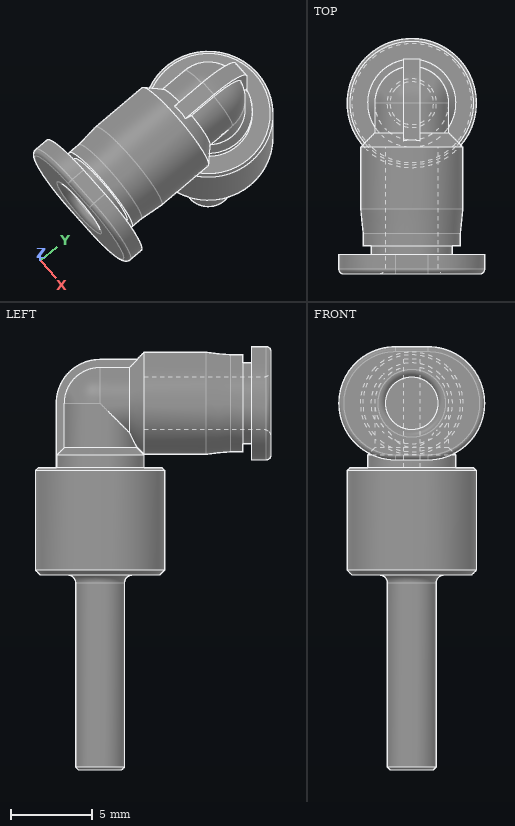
import cadquery as cq


elbow_radius = 2.27
neck_radius = 2.71
rib_width = 1.05

total_height = 26.1
neck_cone_top = 2.75
neck_cone_height = neck_radius - elbow_radius
body_top = 3.97
body_bottom = 10.6
body_radius = 4.0
body_top_chamfer = 0.18
body_bottom_chamfer = 0.31
stem_radius = 1.51
stem_root_fillet = 0.47
stem_tip_chamfer = 0.18

flange_length = 9.0
flange_height = 7.0
flange_fillet = 0.31
stem_bottom = total_height - flange_height / 2

socket_radius = 3.15
socket_cone_length = socket_radius - elbow_radius
socket_cone_start = 1.83
socket_cone_end = socket_cone_start + socket_cone_length
taper_start = 6.52
taper_end = 8.05
lip_radius = 3.0
lip_end = 8.8
collar_radius = 2.5
flange_back = 9.32
flange_front = 10.55

bore_radius = 1.62
bore_fillet = 0.47
bore_depth = flange_front - socket_cone_end


def vertical_branch():
    """Elbow leg, neck, body and stem turned about Z."""
    root_radius = stem_radius + stem_root_fillet
    root_bottom = -body_bottom - stem_root_fillet
    bend = 0.5 ** 0.5
    root_mid = (
        root_radius - stem_root_fillet * bend,
        root_bottom + stem_root_fillet * bend,
    )
    return (
        cq.Workplane("XZ")
        .lineTo(elbow_radius, 0)
        .lineTo(elbow_radius, -neck_cone_top)
        .lineTo(neck_radius, -neck_cone_top - neck_cone_height)
        .lineTo(neck_radius, -body_top)
        .lineTo(body_radius - body_top_chamfer, -body_top)
        .lineTo(body_radius, -body_top - body_top_chamfer)
        .lineTo(body_radius, -body_bottom + body_bottom_chamfer)
        .lineTo(body_radius - body_bottom_chamfer, -body_bottom)
        .lineTo(root_radius, -body_bottom)
        .threePointArc(root_mid, (stem_radius, root_bottom))
        .lineTo(stem_radius, -stem_bottom + stem_tip_chamfer)
        .lineTo(stem_radius - stem_tip_chamfer, -stem_bottom)
        .lineTo(0, -stem_bottom)
        .close()
        .revolve(360, (0, 0), (0, 1))
    )


def socket_branch():
    """Elbow leg, tapered socket and collar turned about Y."""
    return (
        cq.Workplane("XY")
        .lineTo(elbow_radius, 0)
        .lineTo(elbow_radius, -socket_cone_start)
        .lineTo(socket_radius, -socket_cone_end)
        .lineTo(socket_radius, -taper_start)
        .lineTo(lip_radius, -taper_end)
        .lineTo(lip_radius, -lip_end)
        .lineTo(collar_radius, -lip_end)
        .lineTo(collar_radius, -flange_back)
        .lineTo(0, -flange_back)
        .close()
        .revolve(360, (0, 0), (0, 1))
    )


def spine_rib():
    """Flat rib that follows the outside of the bend."""
    bend = neck_radius * 0.5 ** 0.5
    return (
        cq.Workplane("YZ")
        .lineTo(0, -body_top)
        .lineTo(neck_radius, -body_top)
        .lineTo(neck_radius, 0)
        .threePointArc((bend, bend), (0, neck_radius))
        .lineTo(-socket_cone_end, neck_radius)
        .lineTo(-socket_cone_end, 0)
        .close()
        .extrude(rib_width / 2, both=True)
    )


def release_flange():
    """Rounded plate at the socket mouth."""
    return (
        cq.Workplane("XZ", origin=(0, -flange_back, 0))
        .slot2D(flange_length, flange_height)
        .extrude(flange_front - flange_back)
        .faces("<Y")
        .edges()
        .fillet(flange_fillet)
    )


def drill_bore(solid):
    """Blind tube bore with a rounded mouth."""
    bore = cq.Workplane("XZ", origin=(0, -flange_front, 0)).circle(bore_radius).extrude(-bore_depth)
    mouth = cq.selectors.RadiusNthSelector(0)
    return solid.cut(bore).faces("<Y").edges(mouth).fillet(bore_fillet)


elbow_ball = cq.Workplane("XY").sphere(elbow_radius)
fitting = vertical_branch().union(socket_branch()).union(elbow_ball)
fitting = fitting.union(spine_rib()).union(release_flange())
result = drill_bore(fitting)